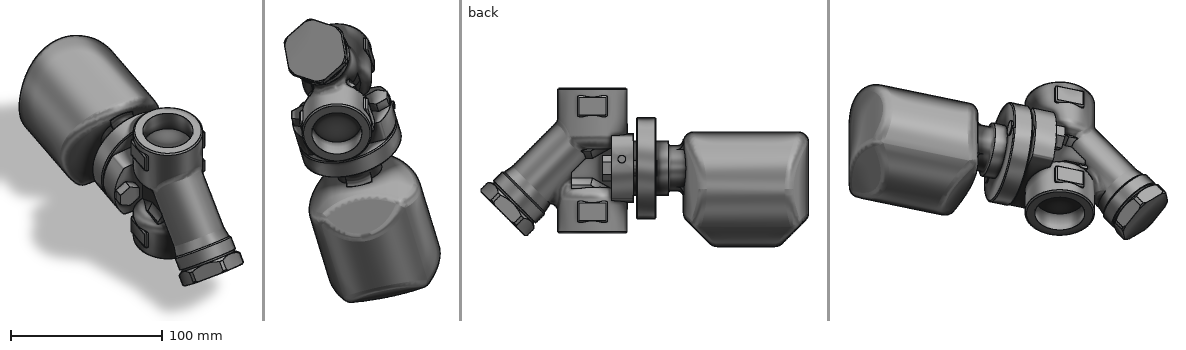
import math

import cadquery as cq


PIPE_DIAMETER = 46.0
PIPE_TOP = 53.0
PIPE_BOTTOM = -43.0
SOCKET_INNER_END = 12.5
SOCKET_SHOULDER_RADIUS = 9.0
PIPE_CHAMFER = 1.0
BORE_DIAMETER = 33.0
BORE_DEPTH = 14.0

PAD_WIDTH = 20.0
PAD_HEIGHT = 14.0
PAD_FACE_Y = 23.3
PAD_CHAMFER = 1.2
PAD_CORNER_RADIUS = 1.5
PAD_CENTRES_Z = (41.0, -28.8)

CORE_HALF_DEPTH = 16.0
CORE_RIGHT = 14.0
CORE_OVERLAP = 1.0
POCKET_DEPTH = 4.0
POCKET_HALF_HEIGHT = 6.5
POCKET_SLOPE = 0.56
POCKET_WALL_TAPER = 50.0

BODY_FLANGE_LEFT = -27.1
BODY_FLANGE_RIGHT = -12.7
FLANGE_DIAMETER = 67.0
ROOF_RIDGE_Z = 22.8
ROOF_SIDE_Y = 28.0
ROOF_SIDE_Z = 20.8
ROOF_EDGE_RADIUS = 3.0
MARK_DIAMETER = 5.0
MARK_X = -19.4
MARK_Z = 6.0
MARK_HEIGHT = 0.7
MARK_ROOT_DEPTH = 4.0

BONNET_FLANGE_LEFT = -42.0
BONNET_FLANGE_RIGHT = -29.0
BONNET_FLANGE_CHAMFER = 0.8
COLLAR_LEFT = -50.2
COLLAR_DIAMETER = 36.0
NECK_DIAMETER = 30.0
NECK_FILLET = 1.6
FLARE_SIZE = 4.0
FLARE_WIDTH = 17.0
FLARE_OVERLAP = 1.0

SCREW_SPACING = 50.5
SCREW_DIAMETER = 10.0
SCREW_PROJECTION = 0.8
NUT_ACROSS_FLATS = 14.5
NUT_HEIGHT = 6.1

HEAD_LEFT = -142.95
HEAD_RIGHT = -59.95
HEAD_DIAMETER = 76.0
HEAD_AXIS_Z = -14.0
HEAD_END_SAG = 12.0
HEAD_BEVEL = 19.7
HEAD_EDGE_FILLET = 7.0

BRANCH_ANGLE = 45.0
BRANCH_ORIGIN_Z = 29.2
BRANCH_RADIUS = 17.6
BRANCH_ROOT_FILLET = 5.0
BRANCH_FLARE_START = 57.0
BRANCH_FLARE_END = 63.5
BRANCH_COLLAR_START = 64.5
BRANCH_COLLAR_RADIUS = 19.8
BRANCH_COLLAR_EASE = 1.0
BRANCH_COLLAR_END = 72.8
CAP_START = 74.2
CAP_END = 83.82
CAP_GROOVE_RADIUS = 18.6
CAP_ACROSS_FLATS = 38.6
CAP_TRIM_RADIUS = 21.6
CAP_CHAMFER_DEPTH = 2.4
CAP_CHAMFER_LENGTH = 2.0
CAP_END_CHAMFER = 1.0

HEAD_RADIUS = HEAD_DIAMETER / 2
PIPE_RADIUS = PIPE_DIAMETER / 2


def rod(x_start, x_end, diameter, y=0.0, z=0.0):
    """Round bar along X."""
    return cq.Workplane("YZ", origin=(x_start, y, z)).circle(diameter / 2).extrude(x_end - x_start)


def make_head():
    """Round head with bulging ends, bevelled off below."""
    middle_x = (HEAD_LEFT + HEAD_RIGHT) / 2
    bottom_z = HEAD_AXIS_Z - HEAD_RADIUS
    bevel_top_z = bottom_z + HEAD_BEVEL
    top_z = HEAD_AXIS_Z + HEAD_RADIUS
    plan = (
        cq.Workplane("XY", origin=(0, 0, bottom_z))
        .moveTo(HEAD_LEFT + HEAD_END_SAG, -HEAD_RADIUS)
        .lineTo(HEAD_RIGHT - HEAD_END_SAG, -HEAD_RADIUS)
        .threePointArc((HEAD_RIGHT, 0), (HEAD_RIGHT - HEAD_END_SAG, HEAD_RADIUS))
        .lineTo(HEAD_LEFT + HEAD_END_SAG, HEAD_RADIUS)
        .threePointArc((HEAD_LEFT, 0), (HEAD_LEFT + HEAD_END_SAG, -HEAD_RADIUS))
        .close()
        .extrude(HEAD_DIAMETER)
    )
    profile = (
        cq.Workplane("XZ", origin=(0, HEAD_RADIUS, 0))
        .polyline([
            (HEAD_LEFT, top_z),
            (HEAD_RIGHT, top_z),
            (HEAD_RIGHT, bevel_top_z),
            (HEAD_RIGHT - HEAD_BEVEL, bottom_z),
            (HEAD_LEFT + HEAD_BEVEL, bottom_z),
            (HEAD_LEFT, bevel_top_z),
        ])
        .close()
        .extrude(HEAD_DIAMETER)
    )
    head = rod(HEAD_LEFT, HEAD_RIGHT, HEAD_DIAMETER, z=HEAD_AXIS_Z).intersect(plan).intersect(profile)
    low_y, high_y = -HEAD_DIAMETER, HEAD_DIAMETER
    left_edges = cq.selectors.BoxSelector(
        (HEAD_LEFT - HEAD_EDGE_FILLET, low_y, bottom_z - HEAD_EDGE_FILLET),
        (middle_x - HEAD_EDGE_FILLET, high_y, top_z + HEAD_EDGE_FILLET),
    )
    right_edges = cq.selectors.BoxSelector(
        (middle_x + HEAD_EDGE_FILLET, low_y, bottom_z - HEAD_EDGE_FILLET),
        (HEAD_RIGHT + HEAD_EDGE_FILLET, high_y, top_z + HEAD_EDGE_FILLET),
    )
    return head.edges(left_edges).fillet(HEAD_EDGE_FILLET).edges(right_edges).fillet(HEAD_EDGE_FILLET)


def make_bonnet():
    """Neck, collar and round flange between the head and the body."""
    neck_root = COLLAR_LEFT - NECK_FILLET
    neck_radius = NECK_DIAMETER / 2
    root_radius = neck_radius + NECK_FILLET
    middle = 1 - math.sqrt(0.5)
    neck = (
        cq.Workplane("XZ")
        .moveTo(HEAD_RIGHT - HEAD_END_SAG, 0)
        .lineTo(HEAD_RIGHT - HEAD_END_SAG, neck_radius)
        .lineTo(neck_root, neck_radius)
        .threePointArc(
            (COLLAR_LEFT - NECK_FILLET * middle, neck_radius + NECK_FILLET * middle),
            (COLLAR_LEFT, root_radius),
        )
        .lineTo(COLLAR_LEFT, 0)
        .close()
        .revolve(360, (0, 0, 0), (1, 0, 0))
    )
    flare_end = HEAD_RIGHT + FLARE_SIZE
    flare_band = cq.Workplane("XY", origin=(HEAD_RIGHT, 0, 0)).box(
        4 * FLARE_SIZE, FLARE_WIDTH, 2 * NECK_DIAMETER
    )
    flare = (
        cq.Workplane("XZ")
        .moveTo(HEAD_RIGHT - FLARE_OVERLAP, 0)
        .lineTo(HEAD_RIGHT - FLARE_OVERLAP, neck_radius + FLARE_SIZE)
        .lineTo(HEAD_RIGHT, neck_radius + FLARE_SIZE)
        .threePointArc(
            (HEAD_RIGHT + FLARE_SIZE * middle, neck_radius + FLARE_SIZE * middle),
            (flare_end, neck_radius),
        )
        .lineTo(flare_end, 0)
        .close()
        .revolve(360, (0, 0, 0), (1, 0, 0))
        .intersect(flare_band)
    )
    flange = rod(BONNET_FLANGE_LEFT, BONNET_FLANGE_RIGHT, FLANGE_DIAMETER)
    flange = flange.faces("<X or >X").chamfer(BONNET_FLANGE_CHAMFER)
    collar = rod(COLLAR_LEFT, BODY_FLANGE_LEFT, COLLAR_DIAMETER)
    return neck.union(flare).union(collar).union(flange)


def make_body_flange():
    """Round plate cut to a shallow roof above and below."""
    length = BODY_FLANGE_RIGHT - BODY_FLANGE_LEFT
    side_slope = (ROOF_RIDGE_Z - ROOF_SIDE_Z) / ROOF_SIDE_Y
    outer_y = FLANGE_DIAMETER / 2
    outer_z = ROOF_RIDGE_Z - side_slope * outer_y
    roof = (
        cq.Workplane("YZ", origin=(BODY_FLANGE_LEFT, 0, 0))
        .polyline([
            (0, ROOF_RIDGE_Z), (outer_y, outer_z), (outer_y, -outer_z),
            (0, -ROOF_RIDGE_Z), (-outer_y, -outer_z), (-outer_y, outer_z),
        ])
        .close()
        .extrude(length)
    )
    plate = rod(BODY_FLANGE_LEFT, BODY_FLANGE_RIGHT, FLANGE_DIAMETER).intersect(roof)
    plate = plate.edges("|X").edges("not (>Z or <Z)").fillet(ROOF_EDGE_RADIUS)
    mark = (
        cq.Workplane("XZ", origin=(MARK_X, FLANGE_DIAMETER / 2 + MARK_HEIGHT, MARK_Z))
        .circle(MARK_DIAMETER / 2)
        .extrude(MARK_ROOT_DEPTH)
    )
    return plate.union(mark)


def make_screws():
    """Two through screws with hexagon nuts behind the body flange."""
    screws = cq.Workplane("XY")
    nut_diameter = NUT_ACROSS_FLATS / math.cos(math.pi / 6)
    for y in (-SCREW_SPACING / 2, SCREW_SPACING / 2):
        shank = rod(BONNET_FLANGE_LEFT - SCREW_PROJECTION, BODY_FLANGE_RIGHT, SCREW_DIAMETER, y=y)
        nut = (
            cq.Workplane("YZ", origin=(BODY_FLANGE_RIGHT, y, 0))
            .transformed(rotate=(0, 0, 90))
            .polygon(6, nut_diameter)
            .extrude(NUT_HEIGHT)
        )
        screws = screws.union(shank).union(nut)
    return screws


def make_socket(end_z, inner_z):
    """Pipe socket with a chamfered mouth and a rounded shoulder."""
    outer, inner = (">Z", "<Z") if end_z > inner_z else ("<Z", ">Z")
    socket = cq.Workplane("XY", origin=(0, 0, inner_z)).circle(PIPE_RADIUS).extrude(end_z - inner_z)
    return socket.faces(inner).edges().fillet(SOCKET_SHOULDER_RADIUS).faces(outer).chamfer(PIPE_CHAMFER)


def make_core():
    """Block between the sockets, with a sloping-walled recess in each side, open towards the branch."""
    core = cq.Workplane("XY").box(
        CORE_RIGHT - BODY_FLANGE_LEFT, 2 * CORE_HALF_DEPTH, 2 * (SOCKET_INNER_END + CORE_OVERLAP)
    ).translate(((CORE_RIGHT + BODY_FLANGE_LEFT) / 2, 0, 0))
    end_half_height = POCKET_HALF_HEIGHT - POCKET_SLOPE * BODY_FLANGE_LEFT
    pocket = (
        cq.Workplane("XZ", origin=(0, POCKET_DEPTH - CORE_HALF_DEPTH, 0))
        .polyline([
            (BODY_FLANGE_LEFT, end_half_height),
            (0, POCKET_HALF_HEIGHT),
            (CORE_RIGHT, POCKET_HALF_HEIGHT),
            (CORE_RIGHT, -POCKET_HALF_HEIGHT),
            (0, -POCKET_HALF_HEIGHT),
            (BODY_FLANGE_LEFT, -end_half_height),
        ])
        .close()
        .extrude(POCKET_DEPTH, taper=-POCKET_WALL_TAPER)
    )
    return core.cut(pocket).cut(pocket.mirror("XZ"))


def make_pads():
    """Rectangular wrench pads on both sides of each socket."""
    pads = cq.Workplane("XY")
    for z in PAD_CENTRES_Z:
        pad = (
            cq.Workplane("XY", origin=(0, 0, z))
            .box(PAD_WIDTH, 2 * PAD_FACE_Y, PAD_HEIGHT)
            .edges("|Y").fillet(PAD_CORNER_RADIUS)
            .faces("<Y or >Y").chamfer(PAD_CHAMFER)
        )
        pads = pads.union(pad)
    return pads


def make_branch():
    """Inclined strainer branch with its hexagon cap."""
    tube = (
        cq.Workplane("XZ")
        .polyline([
            (0, 0),
            (0, BRANCH_RADIUS),
            (BRANCH_FLARE_START, BRANCH_RADIUS),
            (BRANCH_FLARE_END, BRANCH_COLLAR_RADIUS - BRANCH_COLLAR_EASE),
            (BRANCH_COLLAR_START, BRANCH_COLLAR_RADIUS),
            (BRANCH_COLLAR_END, BRANCH_COLLAR_RADIUS),
            (BRANCH_COLLAR_END, CAP_GROOVE_RADIUS),
            (CAP_START, CAP_GROOVE_RADIUS),
            (CAP_START, 0),
        ])
        .close()
        .revolve(360, (0, 0, 0), (1, 0, 0))
    )
    cap = (
        cq.Workplane("YZ", origin=(CAP_START, 0, 0))
        .transformed(rotate=(0, 0, 90))
        .polygon(6, CAP_ACROSS_FLATS / math.cos(math.pi / 6))
        .extrude(CAP_END - CAP_START)
    )
    trim = rod(CAP_START, CAP_END, 2 * CAP_TRIM_RADIUS)
    trim = trim.faces("<X").chamfer(CAP_CHAMFER_LENGTH, CAP_CHAMFER_DEPTH)
    trim = trim.faces(">X").chamfer(CAP_END_CHAMFER)
    branch = tube.union(cap.intersect(trim))
    return branch.rotate((0, 0, 0), (0, 1, 0), BRANCH_ANGLE).translate((0, 0, BRANCH_ORIGIN_Z))


def make_bores():
    """Blind bores in both socket mouths."""
    top = cq.Workplane("XY", origin=(0, 0, PIPE_TOP)).circle(BORE_DIAMETER / 2).extrude(-BORE_DEPTH)
    bottom = cq.Workplane("XY", origin=(0, 0, PIPE_BOTTOM)).circle(BORE_DIAMETER / 2).extrude(BORE_DEPTH)
    return top.union(bottom)


sockets = make_socket(PIPE_TOP, SOCKET_INNER_END).union(make_socket(PIPE_BOTTOM, -SOCKET_INNER_END))
body = sockets.union(make_branch(), clean=False).edges("%BSPLINE").fillet(BRANCH_ROOT_FILLET)
body = body.union(make_core())
body = body.union(make_pads())
body = body.cut(make_bores())

result = (
    body.union(make_body_flange())
    .union(make_screws())
    .union(make_bonnet())
    .union(make_head())
)